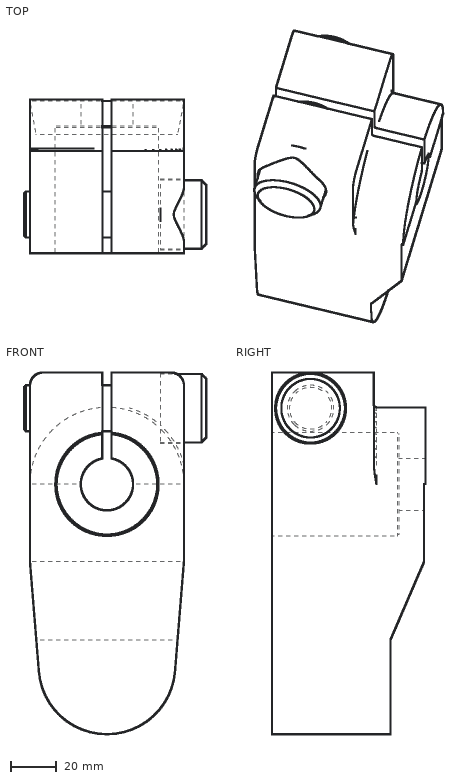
import cadquery as cq
import math

height = 158.8
body_width = 67.6
clamp_depth = 44.8
hub_overhang = 0.6
total_depth = 67.5
middle_depth = total_depth - hub_overhang
foot_depth = 52.1
foot_top_z = 41.5
taper_start_z = 75.7
end_radius = 30.0
corner_radius = 5.9
half_width = body_width / 2

bore_z = height - 49.0
hub_root_fillet = 1.1
bore_radius = 22.0
bore_depth = 55.7
mouth_radius = 22.7
mouth_depth = 55.1
through_radius = 11.5
slit_width = 4.0

screw_y = 17.0
screw_z = height - 15.7
screw_radius = 10.2
tip_length = 2.5
tip_chamfer = 1.0
head_radius = 15.1
head_length = 9.8
head_chamfer = 2.2
head_seat_radius = 15.5
head_seat_depth = 10.3


def y_cylinder(radius, start, end):
    """Cylinder about the bore axis, between two Y positions."""
    return (
        cq.Workplane("XZ", origin=(0, start, bore_z))
        .circle(radius)
        .extrude(start - end)
    )


def x_cylinder(radius, start, end):
    """Cylinder about the screw axis, between two X positions."""
    return (
        cq.Workplane("YZ", origin=(start, screw_y, screw_z))
        .circle(radius)
        .extrude(end - start)
    )


def front_outline():
    """Parallel sides that taper tangentially into the round lower end."""
    rise = taper_start_z - end_radius
    reach = math.hypot(half_width, rise)
    tangent_angle = math.atan2(rise, half_width) - math.acos(end_radius / reach)
    tangent_x = end_radius * math.cos(tangent_angle)
    tangent_z = end_radius + end_radius * math.sin(tangent_angle)
    return (
        cq.Workplane("XZ")
        .moveTo(-half_width, height)
        .lineTo(half_width, height)
        .lineTo(half_width, taper_start_z)
        .lineTo(tangent_x, tangent_z)
        .threePointArc((0, 0), (-tangent_x, tangent_z))
        .lineTo(-half_width, taper_start_z)
        .close()
    )


def make_body():
    block = front_outline().extrude(-middle_depth).edges("|Y and >Z").fillet(corner_radius)
    side_profile = (
        cq.Workplane("YZ", origin=(-half_width, 0, 0))
        .polyline([
            (0, 0),
            (foot_depth, 0),
            (foot_depth, foot_top_z),
            (middle_depth, taper_start_z),
            (middle_depth, bore_z),
            (clamp_depth, bore_z),
            (clamp_depth, height),
            (0, height),
        ])
        .close()
        .extrude(body_width)
    )
    return block.intersect(side_profile)


def make_hub():
    """Upper half of the hub, with a concave root fillet trimmed to the body width."""
    fillet_end = clamp_depth + hub_root_fillet
    arc_offset = hub_root_fillet * (1 - math.sqrt(0.5))
    hub = (
        cq.Workplane("XY")
        .moveTo(0, 0)
        .lineTo(half_width + hub_root_fillet, 0)
        .lineTo(half_width + hub_root_fillet, clamp_depth)
        .threePointArc(
            (half_width + arc_offset, clamp_depth + arc_offset),
            (half_width, fillet_end),
        )
        .lineTo(half_width, total_depth)
        .lineTo(0, total_depth)
        .close()
        .revolve(360, (0, 0, 0), (0, 1, 0))
        .translate((0, 0, bore_z))
    )
    envelope = (
        cq.Workplane("XY", origin=(0, 0, bore_z))
        .box(body_width, total_depth, height - bore_z, centered=(True, False, False))
    )
    return hub.intersect(envelope)


def make_bore():
    return (
        y_cylinder(through_radius, 0, total_depth)
        .union(y_cylinder(bore_radius, 0, bore_depth))
        .union(y_cylinder(mouth_radius, 0, mouth_depth))
    )


def make_slit():
    return (
        cq.Workplane("XY", origin=(0, 0, bore_z))
        .box(slit_width, total_depth, height - bore_z, centered=(True, False, False))
    )


def make_head_seat():
    return x_cylinder(head_seat_radius, half_width - head_seat_depth, half_width)


def make_screw():
    shank = (
        x_cylinder(screw_radius, -half_width - tip_length, half_width)
        .faces("<X").edges().chamfer(tip_chamfer)
    )
    head = (
        x_cylinder(head_radius, half_width - head_seat_depth, half_width + head_length)
        .faces(">X").edges().chamfer(head_chamfer)
    )
    return shank.union(head)


clamp = make_body().union(make_hub()).cut(make_bore()).cut(make_slit()).cut(make_head_seat())
result = clamp.union(make_screw())